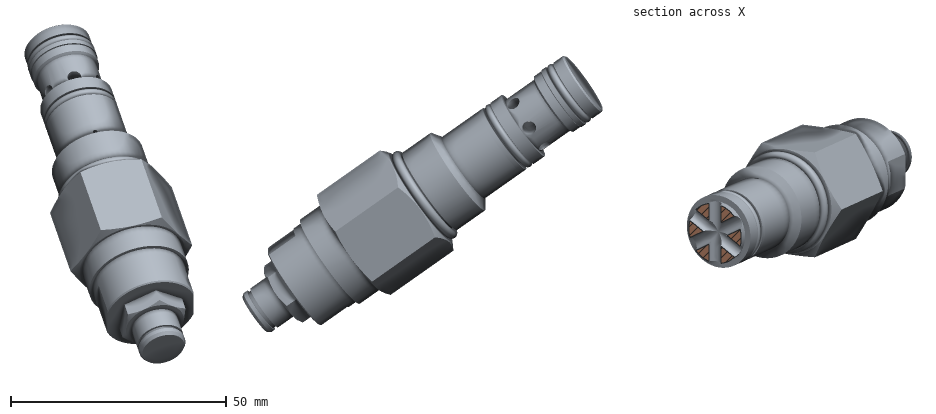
import cadquery as cq
import math

overall_length = 94.0

nose_dia = 15.8
nose_chamfer = 0.4
nose_end = 8.6
neck_start = 9.0
neck_dia = 14.5
neck_end = 17.3
sleeve_dia = 17.4
cross_hole_count = 6
cross_hole_dia = 3.2
cross_hole_x = 15.6
vent_dia = 1.0

spigot_start = 34.4
spigot_full_start = 36.0
spigot_dia = 22.0
spigot_end = 44.0
hex_start = 46.6
hex_end = 66.6
hex_flats = 25.4
hex_end_face_dia = 25.2
hex_front_chamfer_angle = 30.0
hex_back_chamfer_angle = 20.0

sleeve_seal_section = 1.8
backup_width = 1.1
nose_seal_dia = 16.2
nose_groove_start = 3.0
nose_groove_end = 6.5
nose_seal_x = 4.1
nose_backup_start = 5.2
land_seal_dia = 17.5
land_groove_start = 20.4
land_groove_end = 23.8
land_seal_x = 21.4
housing_seal_dia = 24.4
housing_seal_section = 2.3
housing_seal_x = hex_start - housing_seal_section / 2

collar_dia = 24.0
collar_end = 72.6
cap_dia = 22.3
cap_end = 82.8
cap_chamfer = 0.3
cap_flats = 20.7
cap_flat_start = 75.0

nut_end = 86.5
nut_flats = 14.0
nut_turn = 20.8
nut_end_face_dia = 13.9
nut_chamfer_angle = 30.0

screw_dia = 11.1
screw_root_dia = 10.1
screw_groove_start = 91.4
screw_groove_end = 92.3
screw_chamfer_start = 93.3

vent_x = spigot_start - vent_dia / 2
nose_groove_dia = nose_seal_dia - 2 * sleeve_seal_section
land_groove_dia = land_seal_dia - 2 * sleeve_seal_section
seat_dia = housing_seal_dia - 2 * housing_seal_section


def turned(points):
    """Solid of revolution about X from an outline of (x, diameter) points."""
    outline = [(x, dia / 2) for x, dia in points]
    closed_outline = [(points[0][0], 0), *outline, (points[-1][0], 0)]
    return cq.Workplane("XY").polyline(closed_outline).close().revolve(360, (0, 0, 0), (1, 0, 0))


def cylinder(dia, start, end):
    """Round bar along X."""
    return turned([(start, dia), (end, dia)])


def ring(outer_dia, inner_dia, start, end):
    """Ring of rectangular section around X."""
    return cylinder(outer_dia, start, end).cut(cylinder(inner_dia, start, end))


def o_ring(outer_dia, section, x):
    """Torus around X, centred at x."""
    centre_radius = (outer_dia - section) / 2
    return cq.Workplane(cq.Solid.makeTorus(centre_radius, section / 2, cq.Vector(x, 0, 0), cq.Vector(1, 0, 0)))


def corner_dia(flats):
    """Diameter across the corners of a hexagon."""
    return flats / math.cos(math.pi / 6)


def hexagon_bar(flats, start, end):
    """Hexagonal bar along X with corners at +Y and -Y."""
    return cq.Workplane("YZ", origin=(start, 0, 0)).polygon(6, corner_dia(flats)).extrude(end - start)


def corner_chamfer_length(flats, end_face_dia, angle):
    """Length along X over which a conical chamfer reaches the hexagon corners."""
    return (corner_dia(flats) - end_face_dia) / 2 * math.tan(math.radians(angle))


def radial_hole(dia, x, angle):
    """Drill from the axis outwards, turned about X by `angle` degrees from +Z."""
    drill = cq.Workplane("XY").center(x, 0).circle(dia / 2).extrude(sleeve_dia)
    return drill.rotate((0, 0, 0), (1, 0, 0), angle)


def make_valve_hexagon():
    front_chamfer = corner_chamfer_length(hex_flats, hex_end_face_dia, hex_front_chamfer_angle)
    back_chamfer = corner_chamfer_length(hex_flats, hex_end_face_dia, hex_back_chamfer_angle)
    chamfer_envelope = turned([
        (hex_start, hex_end_face_dia),
        (hex_start + front_chamfer, corner_dia(hex_flats)),
        (hex_end - back_chamfer, corner_dia(hex_flats)),
        (hex_end, hex_end_face_dia),
    ])
    return hexagon_bar(hex_flats, hex_start, hex_end).intersect(chamfer_envelope)


def make_valve_body():
    stem = turned([
        (0, nose_dia - 2 * nose_chamfer),
        (nose_chamfer, nose_dia),
        (nose_groove_start, nose_dia),
        (nose_groove_start, nose_groove_dia),
        (nose_groove_end, nose_groove_dia),
        (nose_groove_end, nose_dia),
        (nose_end, nose_dia),
        (neck_start, neck_dia),
        (neck_end, neck_dia),
        (neck_end, sleeve_dia),
        (land_groove_start, sleeve_dia),
        (land_groove_start, land_groove_dia),
        (land_groove_end, land_groove_dia),
        (land_groove_end, sleeve_dia),
        (spigot_start, sleeve_dia),
        (spigot_full_start, spigot_dia),
        (spigot_end, spigot_dia),
        (spigot_end, seat_dia),
        (hex_start, seat_dia),
    ])
    body = stem.union(make_valve_hexagon())
    for i in range(cross_hole_count):
        body = body.cut(radial_hole(cross_hole_dia, cross_hole_x, i * 360 / cross_hole_count))
    return body.cut(radial_hole(vent_dia, vent_x, 0))


def make_cap():
    cap = turned([
        (hex_end, collar_dia),
        (collar_end, collar_dia),
        (collar_end, cap_dia),
        (cap_end - cap_chamfer, cap_dia),
        (cap_end, cap_dia - 2 * cap_chamfer),
    ])
    flat_length = cap_end - cap_flat_start
    for side in (-1, 1):
        flat_cutter = cq.Workplane("XY").box(flat_length, cap_flats, cap_dia)
        cap = cap.cut(flat_cutter.translate((cap_flat_start + flat_length / 2, side * cap_flats, 0)))
    return cap


def make_lock_nut():
    chamfer = corner_chamfer_length(nut_flats, nut_end_face_dia, nut_chamfer_angle)
    chamfer_envelope = turned([
        (cap_end, corner_dia(nut_flats)),
        (nut_end - chamfer, corner_dia(nut_flats)),
        (nut_end, nut_end_face_dia),
    ])
    nut = hexagon_bar(nut_flats, cap_end, nut_end).rotate((0, 0, 0), (1, 0, 0), nut_turn)
    return nut.intersect(chamfer_envelope).cut(cylinder(screw_dia, cap_end, nut_end))


def make_adjusting_screw():
    return turned([
        (cap_end, screw_dia),
        (screw_groove_start, screw_dia),
        (screw_groove_start, screw_root_dia),
        (screw_groove_end, screw_root_dia),
        (screw_groove_end, screw_dia),
        (screw_chamfer_start, screw_dia),
        (overall_length, screw_root_dia),
    ])


valve_body = make_valve_body()
cap = make_cap()
lock_nut = make_lock_nut()
adjusting_screw = make_adjusting_screw()

o_rings = [
    o_ring(outer_dia, section, x)
    for outer_dia, section, x in (
        (nose_seal_dia, sleeve_seal_section, nose_seal_x),
        (land_seal_dia, sleeve_seal_section, land_seal_x),
        (housing_seal_dia, housing_seal_section, housing_seal_x),
    )
]

backup_rings = [
    ring(outer_dia, inner_dia, start, start + backup_width)
    for outer_dia, inner_dia, start in (
        (nose_seal_dia, nose_groove_dia, nose_backup_start),
        (sleeve_dia, land_groove_dia, land_groove_end - backup_width),
    )
]

result = cq.Compound.makeCompound([
    valve_body.val(),
    cap.val(),
    lock_nut.val(),
    adjusting_screw.val(),
    *[seal.val() for seal in o_rings],
    *[backup.val() for backup in backup_rings],
])